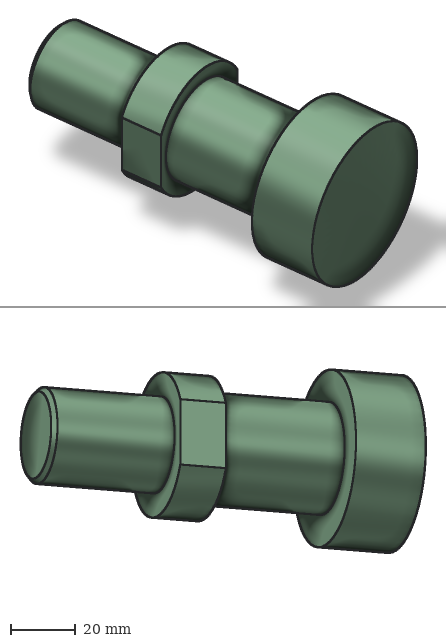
import cadquery as cq

spigot_diameter = 30.0
spigot_length = 40.0
spigot_chamfer = 1.5
collar_diameter = 45.0
collar_length = 15.0
collar_across_flats = 40.0
shank_diameter = 35.0
shank_length = 40.0
head_diameter = 55.0
head_length = 25.0
crown_height = 2.0

collar_start = spigot_length
shank_start = collar_start + collar_length
head_start = shank_start + shank_length
head_end = head_start + head_length


def cylinder(start, length, diameter):
    """Solid cylinder on the X axis, running toward +X from start."""
    return cq.Workplane("YZ", origin=(start, 0, 0)).circle(diameter / 2).extrude(length)


def make_spigot():
    """Plain end of the pin, with a chamfered tip."""
    return cylinder(0, spigot_length, spigot_diameter).faces("<X").chamfer(spigot_chamfer)


def make_collar():
    """Round collar with two flats facing -Y and +Y."""
    flats = cq.Workplane("XY", origin=(collar_start + collar_length / 2, 0, 0)).box(
        collar_length, collar_across_flats, collar_diameter
    )
    return cylinder(collar_start, collar_length, collar_diameter).intersect(flats)


def make_head():
    """Round head whose end face is a shallow spherical crown."""
    rim_radius = head_diameter / 2
    rim_end = head_end - crown_height
    crown_radius = (rim_radius**2 + crown_height**2) / (2 * crown_height)
    half_profile = (
        cq.Workplane("XY")
        .moveTo(head_start, 0)
        .lineTo(head_start, rim_radius)
        .lineTo(rim_end, rim_radius)
        .radiusArc((head_end, 0), crown_radius)
        .close()
    )
    return half_profile.revolve(360, (0, 0, 0), (1, 0, 0))


shank = cylinder(shank_start, shank_length, shank_diameter)
result = make_spigot().union(make_collar()).union(shank).union(make_head())